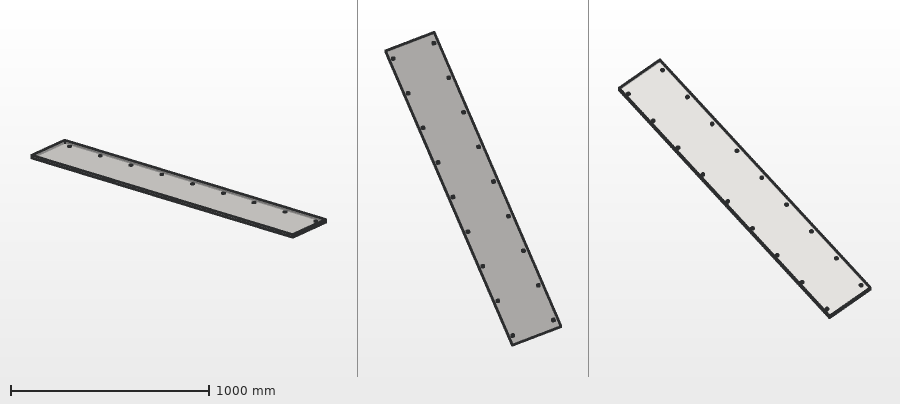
import cadquery as cq

length = 1697.0
width = 265.0
height = 16.5

sheet_thickness = 1.5
inner_bend_radius = 0.2
outer_bend_radius = inner_bend_radius + sheet_thickness

hole_side = 10.0
holes_per_row = 9
row_length = 1600.0
hole_pitch = row_length / (holes_per_row - 1)
row_count = 2
row_spacing = 220.0


def rounded_block(block_length, block_width, bottom, bend_radius):
    """Block from the given bottom up to the rim, with rounded bottom edges."""
    block = (
        cq.Workplane("XY")
        .workplane(offset=bottom)
        .rect(block_length, block_width)
        .extrude(height - bottom)
    )
    return block.faces("<Z").edges().fillet(bend_radius)


def make_tray():
    """Shallow open-topped tray with a flange on all four sides."""
    outside = rounded_block(length, width, 0, outer_bend_radius)
    inside = rounded_block(
        length - 2 * sheet_thickness,
        width - 2 * sheet_thickness,
        sheet_thickness,
        inner_bend_radius,
    )
    return outside.cut(inside)


def make_hole_cutters():
    """Square bars that pierce the floor in two rows about its centre."""
    return (
        cq.Workplane("XY")
        .rarray(hole_pitch, row_spacing, holes_per_row, row_count)
        .rect(hole_side, hole_side)
        .extrude(height)
    )


result = make_tray().cut(make_hole_cutters())